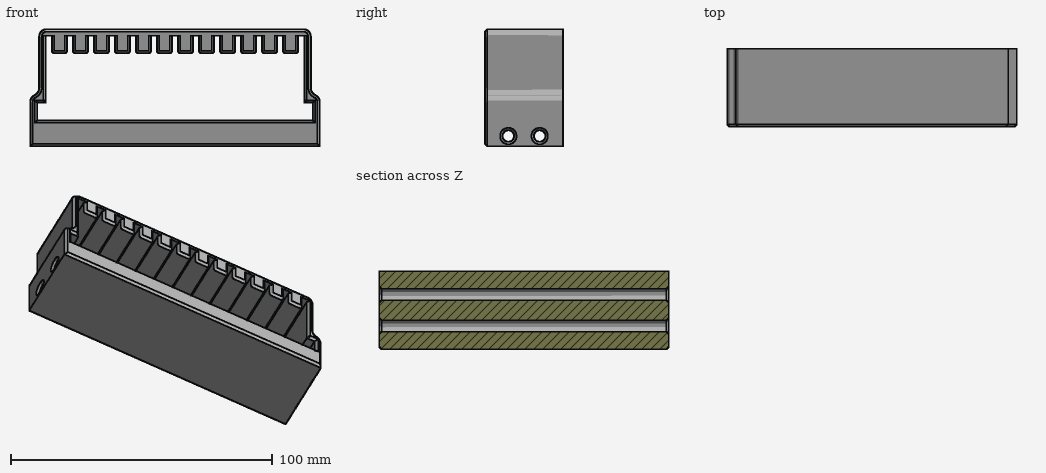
import cadquery as cq
import math

length = 111.0
depth = 30.0
height = 45.0

lower_wall = 2.8
upper_wall = 2.7
ceiling = upper_wall
floor_height = 10.0
side_step = 3.4
ledge_height = 16.8
bend_mid_height = 19.6
bend_radius = 3.0
top_corner_radius = 3.0
edge_chamfer = 1.0

tooth_count = 12
tooth_row_length = 94.4
tooth_width = 5.9
tooth_drop = 6.7
tooth_tip_radius = 1.1

hole_diameter = 4.3
hole_spacing = 12.0
hole_height = 4.0

lower_half = length / 2
upper_half = lower_half - side_step
ceiling_height = height - ceiling
tooth_pitch = (tooth_row_length - tooth_width) / (tooth_count - 1)


def make_body():
    """Solid block with rounded top corners and an S-shaped bend in each side."""
    bend_angle = math.acos(1 - side_step / 2 / bend_radius)
    bend_rise = bend_radius * math.sin(bend_angle)
    mid_half = (lower_half + upper_half) / 2
    bend_bottom = bend_mid_height - bend_rise
    bend_top = bend_mid_height + bend_rise
    corner_start = height - top_corner_radius
    top_half = upper_half - top_corner_radius
    return (
        cq.Workplane("XZ")
        .moveTo(-lower_half, 0)
        .lineTo(lower_half, 0)
        .lineTo(lower_half, bend_bottom)
        .radiusArc((mid_half, bend_mid_height), -bend_radius)
        .radiusArc((upper_half, bend_top), bend_radius)
        .lineTo(upper_half, corner_start)
        .radiusArc((top_half, height), -top_corner_radius)
        .lineTo(-top_half, height)
        .radiusArc((-upper_half, corner_start), -top_corner_radius)
        .lineTo(-upper_half, bend_top)
        .radiusArc((-mid_half, bend_mid_height), bend_radius)
        .radiusArc((-lower_half, bend_bottom), -bend_radius)
        .close()
        .extrude(-depth)
        .faces("<Y")
        .chamfer(edge_chamfer)
    )


def make_block(half_width, bottom, top):
    """Full-depth block centred on X between two heights."""
    return (
        cq.Workplane("XY", origin=(0, depth / 2, bottom))
        .box(2 * half_width, depth, top - bottom, centered=(True, True, False))
    )


def make_opening():
    """Stepped opening through the depth, flared at the front except along the ceiling."""
    lower_opening = make_block(lower_half - lower_wall, floor_height, ledge_height)
    upper_opening = make_block(upper_half - upper_wall, floor_height, ceiling_height)
    opening = lower_opening.union(upper_opening)

    outline = opening.faces("<Y").wires().val().offset2D(edge_chamfer, "intersection")[0]
    flare = (
        cq.Workplane("XZ")
        .add(outline)
        .toPending()
        .extrude(-edge_chamfer, taper=45)
    )
    below_ceiling = make_block(lower_half, 0, ceiling_height)
    return opening.union(flare.intersect(below_ceiling))


def make_tooth(x):
    """Full-depth tooth with a rounded tip and chamfered front edges."""
    bottom = ceiling_height - tooth_drop
    tooth = make_block(tooth_width / 2, bottom, height - ceiling / 2)
    tooth = tooth.faces("<Z").edges("|Y").fillet(tooth_tip_radius)
    tooth = tooth.faces("<Y").edges("not >Z").chamfer(edge_chamfer)
    return tooth.translate((x, 0, 0))


def make_hole(y):
    """Hole along X through the floor, countersunk at both ends."""
    radius = hole_diameter / 2
    sink_radius = radius + edge_chamfer
    half_profile = (
        cq.Workplane("XY", origin=(0, y, hole_height))
        .polyline([
            (-lower_half, 0),
            (-lower_half, sink_radius),
            (-lower_half + edge_chamfer, radius),
            (lower_half - edge_chamfer, radius),
            (lower_half, sink_radius),
            (lower_half, 0),
        ])
        .close()
    )
    return half_profile.revolve(360, (0, 0, 0), (1, 0, 0))


result = make_body().cut(make_opening())

for index in range(tooth_count):
    tooth_x = (index - (tooth_count - 1) / 2) * tooth_pitch
    result = result.union(make_tooth(tooth_x))

for side in (-1, 1):
    hole_y = depth / 2 + side * hole_spacing / 2
    result = result.cut(make_hole(hole_y))